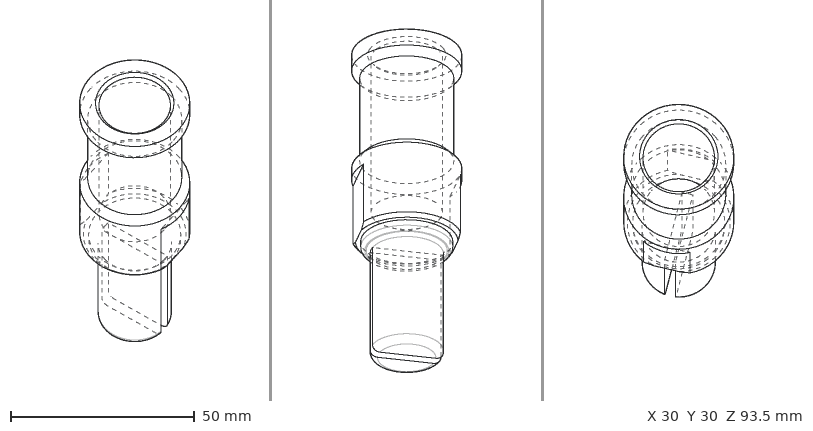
import cadquery as cq
import math

length = 93.5
collar_radius = 30.0 / 2
neck_radius = 12.8
step_radius = 12.5
pin_radius = 10.0

pin_top = 32.1
collar_bottom = 35.9
collar_top = 58.5
rim_bottom = 88.5

collar_chamfer_height = 1.1
collar_chamfer_width = 1.0
step_round = 1.1
root_round = 1.0
tip_round = 2.1

bore_radius = 9.7
bore_chamfer = 0.9
bore_floor = 44.9
drill_point_angle = 118.0

flat_offset = 13.51
flat_top = 54.8

slot_width = 3.0


def make_turned_body():
    """Revolve the outer profile, with 45 degree shoulders at the neck."""
    shoulder = collar_radius - neck_radius
    root_top = pin_top + root_round
    return (
        cq.Workplane("XZ")
        .lineTo(pin_radius - tip_round, 0)
        .radiusArc((pin_radius, tip_round), -tip_round)
        .lineTo(pin_radius, pin_top)
        .radiusArc((pin_radius + root_round, root_top), root_round)
        .lineTo(step_radius - step_round, root_top)
        .radiusArc((step_radius, root_top + step_round), -step_round)
        .lineTo(step_radius, collar_bottom)
        .lineTo(collar_radius - collar_chamfer_width, collar_bottom)
        .lineTo(collar_radius, collar_bottom + collar_chamfer_height)
        .lineTo(collar_radius, collar_top)
        .lineTo(neck_radius, collar_top + shoulder)
        .lineTo(neck_radius, rim_bottom - shoulder)
        .lineTo(collar_radius, rim_bottom)
        .lineTo(collar_radius, length)
        .lineTo(0, length)
        .close()
        .revolve(360, (0, 0, 0), (0, 1, 0))
    )


def make_socket():
    """Blind bore with a conical drill point and a chamfered mouth."""
    point_depth = bore_radius / math.tan(math.radians(drill_point_angle / 2))
    return (
        cq.Workplane("XZ")
        .moveTo(0, bore_floor - point_depth)
        .lineTo(bore_radius, bore_floor)
        .lineTo(bore_radius, length - bore_chamfer)
        .lineTo(bore_radius + bore_chamfer, length)
        .lineTo(0, length)
        .close()
        .revolve(360, (0, 0, 0), (0, 1, 0))
    )


def make_flat_cutter(side):
    """Block that removes the collar beyond one flat; side is -1 or +1 along X."""
    depth = collar_radius - flat_offset
    return cq.Workplane("XY").box(
        depth, 2 * collar_radius, flat_top - collar_bottom
    ).translate((side * (flat_offset + depth / 2), 0, (flat_top + collar_bottom) / 2))


def make_slot():
    """Slot through the pin along X, open at the tip."""
    return cq.Workplane("XY").box(
        2 * collar_radius, slot_width, pin_top, centered=(True, True, False)
    )


result = make_turned_body().cut(make_socket()).cut(make_slot())
for side in (-1, 1):
    result = result.cut(make_flat_cutter(side))